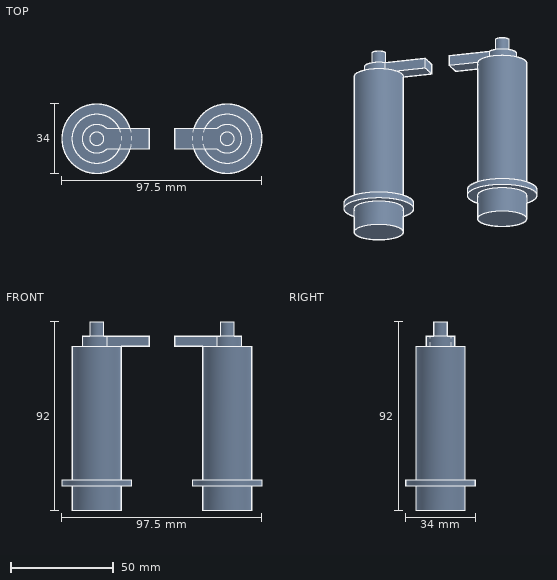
import cadquery as cq

plug_diameter = 24.0
plug_height = 12.0
flange_diameter = 34.0
flange_thickness = 3.0
barrel_diameter = plug_diameter
barrel_height = 65.0
collar_diameter = 14.0
collar_height = 5.0
pin_diameter = 6.7
pin_height = 7.0

arm_width = 10.0
arm_reach = 25.6

overall_length = 97.5
post_spacing = overall_length - flange_diameter

flange_bottom = plug_height
barrel_bottom = flange_bottom + flange_thickness
collar_bottom = barrel_bottom + barrel_height
pin_bottom = collar_bottom + collar_height


def cylinder(diameter, height, bottom):
    """Upright cylinder on the Z axis with its lower face at the given level."""
    return cq.Workplane("XY").workplane(offset=bottom).circle(diameter / 2).extrude(height)


def make_arm(direction):
    """Bar as thick as the collar, pointing along +X (direction 1) or -X (direction -1)."""
    return (
        cq.Workplane("XY")
        .workplane(offset=collar_bottom)
        .center(direction * arm_reach / 2, 0)
        .rect(arm_reach, arm_width)
        .extrude(collar_height)
    )


def make_armed_post(direction):
    """One post with its flange, collar, pin and arm, standing on the Z axis."""
    return (
        cylinder(plug_diameter, plug_height, 0)
        .union(cylinder(flange_diameter, flange_thickness, flange_bottom))
        .union(cylinder(barrel_diameter, barrel_height, barrel_bottom))
        .union(cylinder(collar_diameter, collar_height, collar_bottom))
        .union(make_arm(direction))
        .union(cylinder(pin_diameter, pin_height, pin_bottom))
    )


armed_posts = []
for direction in (1, -1):
    post_x = -direction * post_spacing / 2
    armed_posts.append(make_armed_post(direction).translate((post_x, 0, 0)))

result = cq.Compound.makeCompound([post.val() for post in armed_posts])